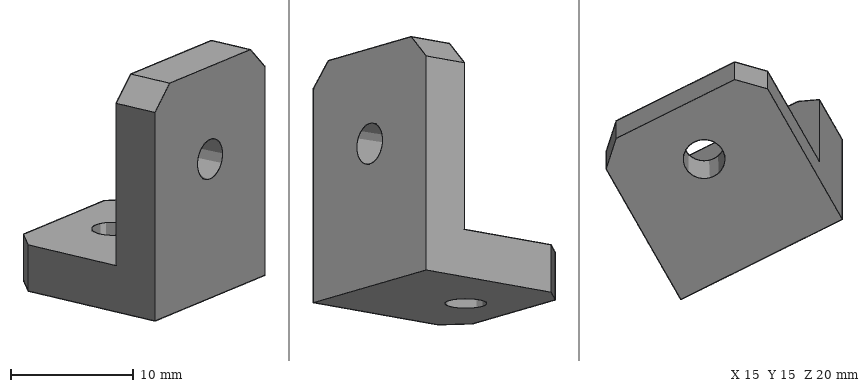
import cadquery as cq

width = 15.0
base_length = 15.0
wall_height = 20.0
thickness = 4.0
corner_chamfer = 2.0
hole_diameter = 3.4
base_hole_x = 5.0
wall_hole_z = 12.0


def make_base():
    """Horizontal leg with its two free corners cut off."""
    base = cq.Workplane("XY").box(base_length, width, thickness, centered=(False, True, False))
    return base.edges("|Z and <X").chamfer(corner_chamfer)


def make_wall():
    """Vertical leg at the +X end with its two top corners cut off."""
    wall = cq.Workplane("XY").box(thickness, width, wall_height, centered=(False, True, False))
    wall = wall.edges("|X and >Z").chamfer(corner_chamfer)
    return wall.translate((base_length - thickness, 0, 0))


base_hole = cq.Workplane("XY").center(base_hole_x, 0).circle(hole_diameter / 2).extrude(thickness)
wall_hole = cq.Workplane("YZ").center(0, wall_hole_z).circle(hole_diameter / 2).extrude(base_length)

result = make_base().union(make_wall()).cut(base_hole).cut(wall_hole)